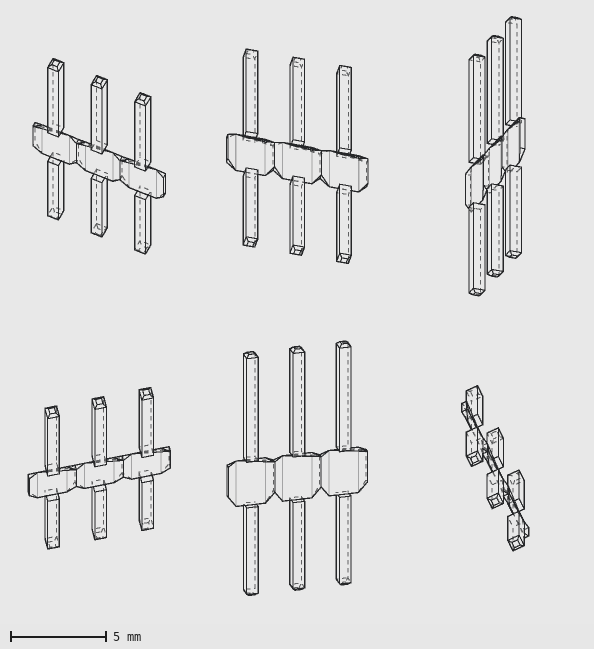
import cadquery as cq

pin_count = 3
pitch = 2.539
pin_width = 0.64
pin_depth = 0.66
tip_height = 0.15
tip_width = 0.32
tip_depth = 0.33
total_height = 13.82
lower_pin_length = 5.11

housing_height = 2.61
edge_thickness = 0.29
web_thickness = 0.01
shoulder_width = 0.47
top_drop = 0.25
bottom_rise = 0.62

half_cell = pitch / 2
half_web = half_cell - shoulder_width
half_edge = edge_thickness / 2
housing_bottom = lower_pin_length - total_height / 2
housing_top = housing_bottom + housing_height
upper_pin_length = total_height - lower_pin_length - housing_height
pin_centers = [(i - (pin_count - 1) / 2) * pitch for i in range(pin_count)]


def make_tetrahedron(corners):
    """Solid bounded by the four triangles between four corners."""
    faces = []
    for skipped in range(len(corners)):
        triangle = [cq.Vector(*c) for i, c in enumerate(corners) if i != skipped]
        faces.append(cq.Face.makeFromWires(cq.Wire.makePolygon(triangle, close=True)))
    return cq.Solid.makeSolid(cq.Shell.makeShell(faces))


def make_cell():
    """Thin web flaring to both side edges, with sloping shoulders and a top wedge."""
    half_thin = web_thickness / 2
    plan = (
        cq.Workplane("XY", origin=(0, 0, housing_bottom))
        .polyline([
            (-half_cell, -half_edge),
            (-half_web, -half_thin),
            (half_web, -half_thin),
            (half_cell, -half_edge),
            (half_cell, half_edge),
            (half_web, half_thin),
            (-half_web, half_thin),
            (-half_cell, half_edge),
        ])
        .close()
        .extrude(housing_height)
    )
    outline = (
        cq.Workplane("XZ")
        .polyline([
            (-half_web, housing_bottom),
            (half_web, housing_bottom),
            (half_cell, housing_bottom + bottom_rise),
            (half_cell, housing_top - top_drop),
            (half_web, housing_top),
            (-half_web, housing_top),
            (-half_cell, housing_top - top_drop),
            (-half_cell, housing_bottom + bottom_rise),
        ])
        .close()
        .extrude(half_edge, both=True)
    )
    top_wedge = make_tetrahedron([
        (-half_cell, -half_edge, housing_top - top_drop),
        (-half_cell, half_edge, housing_top - top_drop),
        (-half_web, 0, housing_top),
        (half_web, 0, housing_top),
    ])
    return plan.intersect(outline).union(cq.Workplane(top_wedge))


def make_housing():
    """Row of cells joined along their side edges into one solid."""
    cell = make_cell()
    housing = cell.translate((pin_centers[0], 0, 0))
    for x in pin_centers[1:]:
        housing = housing.union(cell.translate((x, 0, 0)))
    return housing


def make_pin(x, inner_z, length, direction):
    """Rectangular pin with a pyramidal tip; direction is +1 for up and -1 for down."""
    shank_length = length - tip_height
    shank = (
        cq.Workplane("XY", origin=(x, 0, inner_z))
        .rect(pin_width, pin_depth)
        .extrude(direction * shank_length)
    )
    tip = (
        cq.Workplane("XY", origin=(x, 0, inner_z + direction * shank_length))
        .rect(pin_width, pin_depth)
        .workplane(offset=direction * tip_height)
        .rect(tip_width, tip_depth)
        .loft(combine=True)
    )
    return shank.union(tip)


housing = make_housing()
upper_pins = [make_pin(x, housing_top, upper_pin_length, 1) for x in pin_centers]
lower_pins = [make_pin(x, housing_bottom, lower_pin_length, -1) for x in pin_centers]

result = cq.Compound.makeCompound(
    [body.solids().val() for body in [housing, *upper_pins, *lower_pins]]
)